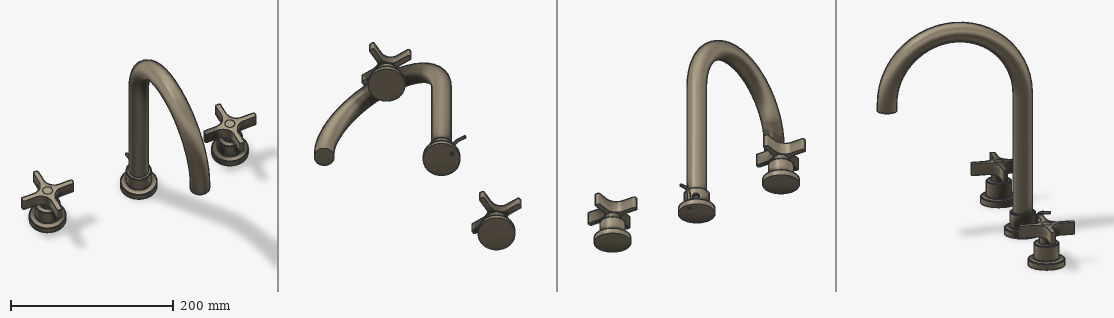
import cadquery as cq
import math


flange_radius = 22.7
flange_height = 8.0
collar_radius = 15.5
collar_top = 28.5
edge_chamfer = 1.0
neck_inset = 1.0
neck_height = 1.0

tube_radius = 12.0
bend_radius = 86.0
spout_height = 280.0
outlet_length = 9.3
bend_start = spout_height - tube_radius - bend_radius

screw_radius = 4.0
screw_height = 16.0
screw_depth = 6.5
screw_angle = 210

rod_radius = 1.5
rod_bend_radius = 7.0
rod_tilt = 8
rod_grip_length = 9.0
rod_foot_x = -16.3
rod_bend_height = 19.0
rod_clearance = 1.0
rod_hole_overrun = 3.2

overall_width = 319.5
handle_spacing = 250.0
handle_span = overall_width - handle_spacing
handle_bottom = 37.7
handle_top = 53.0
arm_width = 6.5
hub_reach = 17.5
arm_tip_fillet = 2.0
stem_radius = 9.0
spigot_radius = 6.0


def make_base():
    """Round flange with a narrower collar on top, both chamfered at the upper edge.

    The collar stands on a slightly narrower neck, leaving a small groove above the flange.
    """
    flange = cq.Workplane("XY").circle(flange_radius).extrude(flange_height)
    flange = flange.faces(">Z").edges().chamfer(edge_chamfer)
    neck_top = flange_height + neck_height
    neck = cq.Workplane("XY").circle(collar_radius - neck_inset).extrude(neck_top)
    collar = cq.Workplane("XY", origin=(0, 0, neck_top)).circle(collar_radius)
    collar = collar.extrude(collar_top - neck_top)
    collar = collar.faces(">Z").edges().chamfer(edge_chamfer)
    return flange.union(neck).union(collar)


def rod_path():
    """Centre line of the lift rod in the XZ plane, as (X, Z) points from foot to grip end.

    The rod crosses the top of the flange at rod_foot_x, and its foot is at Z = 0.
    """
    tilt = math.radians(rod_tilt)
    up = cq.Vector(-math.sin(tilt), math.cos(tilt))
    back = cq.Vector(-math.cos(tilt), -math.sin(tilt))
    foot = cq.Vector(rod_foot_x, flange_height) - up * (flange_height / math.cos(tilt))
    bend_from = foot + up * (rod_bend_height / math.cos(tilt))
    bend_centre = bend_from + back * rod_bend_radius
    bend_middle = bend_centre + (up - back).normalized() * rod_bend_radius
    bend_to = bend_centre + up * rod_bend_radius
    grip_end = bend_to + back * rod_grip_length
    return foot, bend_from, bend_middle, bend_to, grip_end


def make_rod():
    """Round bar swept along the rod path."""
    foot, bend_from, bend_middle, bend_to, grip_end = rod_path()
    path = (
        cq.Workplane("XZ")
        .moveTo(foot.x, foot.y)
        .lineTo(bend_from.x, bend_from.y)
        .threePointArc((bend_middle.x, bend_middle.y), (bend_to.x, bend_to.y))
        .lineTo(grip_end.x, grip_end.y)
    )
    axis = bend_from - foot
    foot_plane = cq.Plane(origin=(foot.x, 0, foot.y), xDir=(0, 1, 0), normal=(axis.x, 0, axis.y))
    return cq.Workplane(foot_plane).circle(rod_radius).sweep(path)


def rod_hole():
    """Clearance hole for the straight part of the lift rod, open at both ends."""
    foot, bend_from = rod_path()[:2]
    axis = (bend_from - foot).normalized()
    start = foot - axis * rod_hole_overrun
    length = (bend_from - start).Length + rod_hole_overrun
    return cq.Workplane(
        cq.Solid.makeCylinder(
            rod_radius + rod_clearance,
            length,
            cq.Vector(start.x, 0, start.y),
            cq.Vector(axis.x, 0, axis.y),
        )
    )


def screw_hole():
    """Blind radial hole in the collar."""
    angle = math.radians(screw_angle)
    outward = cq.Vector(math.cos(angle), math.sin(angle), 0)
    floor = outward * (collar_radius - screw_depth) + cq.Vector(0, 0, screw_height)
    return cq.Workplane(cq.Solid.makeCylinder(screw_radius, 2 * screw_depth, floor, outward))


def make_spout():
    """Base and half-circle gooseneck in one piece, with the set screw and rod holes."""
    path = (
        cq.Workplane("XZ")
        .lineTo(0, bend_start)
        .threePointArc(
            (bend_radius, bend_start + bend_radius),
            (2 * bend_radius, bend_start),
        )
        .lineTo(2 * bend_radius, bend_start - outlet_length)
    )
    tube = cq.Workplane("XY").circle(tube_radius).sweep(path)
    return make_base().union(tube).cut(screw_hole()).cut(rod_hole())


def make_handle_base():
    """Base with a stem that carries the handle and ends in a spigot flush with its top."""
    stem = cq.Workplane("XY").circle(stem_radius).extrude(handle_bottom)
    spigot = cq.Workplane("XY").circle(spigot_radius).extrude(handle_top)
    return make_base().union(stem).union(spigot)


def make_handle():
    """Four-armed cross with concave corners between the arms and a hole for the spigot."""
    height = handle_top - handle_bottom
    plan = cq.Workplane("XY", origin=(0, 0, handle_bottom))
    arm_x = plan.rect(handle_span, arm_width).extrude(height).edges("|Z").fillet(arm_tip_fillet)
    arm_y = plan.rect(arm_width, handle_span).extrude(height).edges("|Z").fillet(arm_tip_fillet)
    corner_radius = hub_reach - arm_width / 2
    corners = [(sx * hub_reach, sy * hub_reach) for sx in (-1, 1) for sy in (-1, 1)]
    hub = plan.rect(2 * hub_reach, 2 * hub_reach).extrude(height)
    hub = hub.cut(plan.pushPoints(corners).circle(corner_radius).extrude(height))
    hole = plan.circle(spigot_radius).extrude(height)
    return hub.union(arm_x).union(arm_y).cut(hole)


spout = make_spout()
rod = make_rod()

handle_bases = []
handles = []
for side in (-1, 1):
    place = (0, side * handle_spacing / 2, 0)
    handle_bases.append(make_handle_base().translate(place).val())
    handles.append(make_handle().translate(place).val())

result = cq.Compound.makeCompound([spout.val(), rod.val(), *handle_bases, *handles])